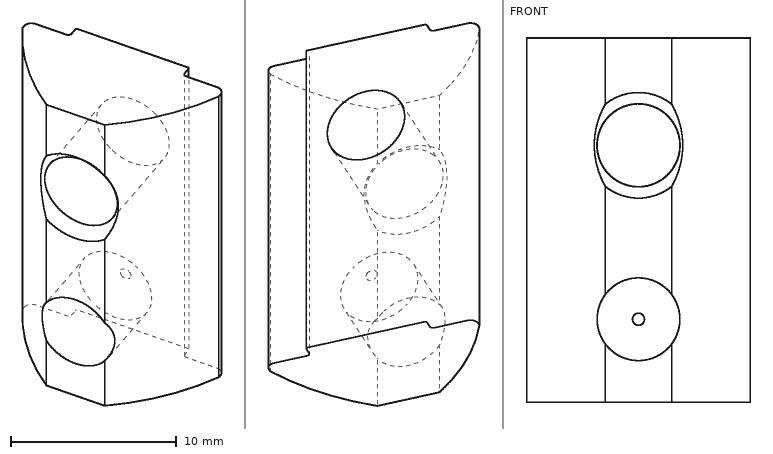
import cadquery as cq
import math

length = 22.0
depth = 7.2
front_half_width = 2.0
flank_radius = 15.62
half_width = 6.75
side_start_y = 5.68
corner_radius = 0.5

pad_half_width = 3.9
pad_height = 0.8
pad_root_radius = 0.22
pad_edge_radius = 0.1
shoulder_y = depth - pad_height

hole_diameter = 5.0
through_z = 15.5
countersink_diameter = 6.38
countersink_depth = (countersink_diameter - hole_diameter) / 2

blind_z = 5.02
blind_depth = 5.0
tip_diameter = 0.73
point_angle = 118.0
point_depth = (hole_diameter - tip_diameter) / 2 / math.tan(math.radians(point_angle / 2))


def make_body():
    """Extrude the wedge-shaped section with its two convex flanks."""
    return (
        cq.Workplane("XY")
        .moveTo(-front_half_width, 0)
        .lineTo(front_half_width, 0)
        .radiusArc((half_width, side_start_y), -flank_radius)
        .lineTo(half_width, shoulder_y)
        .lineTo(pad_half_width, shoulder_y)
        .lineTo(pad_half_width, depth)
        .lineTo(-pad_half_width, depth)
        .lineTo(-pad_half_width, shoulder_y)
        .lineTo(-half_width, shoulder_y)
        .lineTo(-half_width, side_start_y)
        .radiusArc((-front_half_width, 0), -flank_radius)
        .close()
        .extrude(length)
    )


def round_edge_pair(body, x, y, radius):
    """Round the two lengthwise edges at (x, y) and (-x, y)."""
    for side in (-1, 1):
        edge = cq.selectors.NearestToPointSelector((side * x, y, length / 2))
        body = body.edges("|Z").edges(edge).fillet(radius)
    return body


def revolved_cutter(z, outline):
    """Revolve (radius, depth) points about the Y axis at height z."""
    return (
        cq.Workplane("XY")
        .polyline(outline)
        .close()
        .revolve(360, (0, 0, 0), (0, 1, 0))
        .translate((0, 0, z))
    )


body = make_body()
body = round_edge_pair(body, half_width, shoulder_y, corner_radius)
body = round_edge_pair(body, pad_half_width, shoulder_y, pad_root_radius)
body = round_edge_pair(body, pad_half_width, depth, pad_edge_radius)

through_hole = revolved_cutter(
    through_z,
    [
        (0, 0),
        (countersink_diameter / 2, 0),
        (hole_diameter / 2, countersink_depth),
        (hole_diameter / 2, depth),
        (0, depth),
    ],
)
blind_hole = revolved_cutter(
    blind_z,
    [
        (0, 0),
        (hole_diameter / 2, 0),
        (hole_diameter / 2, blind_depth),
        (tip_diameter / 2, blind_depth + point_depth),
        (0, blind_depth + point_depth),
    ],
)

result = body.cut(through_hole).cut(blind_hole)